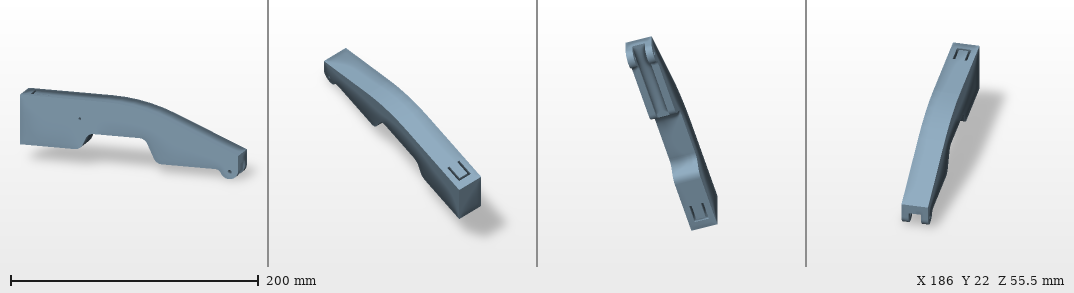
import cadquery as cq
import math

length = 186.0
width = 22.0
height = 55.5

bend_start = 71.8
bend_radius = 141.4
bend_angle = math.radians(22.2)

rear_bottom = 13.8
notch_top = 27.7
front_bottom = 7.5
notch_rear_x = 58.0
notch_front_x = 106.4
notch_wall_angle = math.radians(64.4)
notch_fillet = 7.5

lug_radius = 7.8
lug_x = length - lug_radius
lug_blend_radius = 5.0
hinge_hole_diameter = 3.3
hinge_hole_x = 178.7
hinge_hole_z = 6.1

fork_gap = 10.5
fork_roof = 12.3
cheek = (width - fork_gap) / 2

pin_hole_diameter = 2.5
pin_hole_x = 51.0
pin_hole_z = 39.5

tongue_cut_start = 7.3
tongue_cut_end = 23.2
tongue_cut_width = 11.9
tongue_cut_gap = 2.0


def make_body():
    """Extrude the side outline over the full width."""
    bend_end_x = bend_start + bend_radius * math.sin(bend_angle)
    bend_end_z = height - bend_radius * (1 - math.cos(bend_angle))
    bend_mid = (
        bend_start + bend_radius * math.sin(bend_angle / 2),
        height - bend_radius * (1 - math.cos(bend_angle / 2)),
    )
    end_top = bend_end_z - (length - bend_end_x) * math.tan(bend_angle)

    blend_z = front_bottom - lug_blend_radius
    centre_distance = lug_radius + lug_blend_radius
    rise = lug_radius - blend_z
    run = math.sqrt(centre_distance**2 - rise**2)
    blend_x = lug_x - run
    touch_angle = math.atan2(rise, run)
    touch = (
        blend_x + lug_blend_radius * math.cos(touch_angle),
        blend_z + lug_blend_radius * math.sin(touch_angle),
    )
    blend_mid_angle = (touch_angle + math.pi / 2) / 2
    blend_mid = (
        blend_x + lug_blend_radius * math.cos(blend_mid_angle),
        blend_z + lug_blend_radius * math.sin(blend_mid_angle),
    )

    rear_run = (notch_top - rear_bottom) / math.tan(notch_wall_angle)
    front_run = (notch_top - front_bottom) / math.tan(notch_wall_angle)
    notch_corners = [
        (notch_front_x + front_run, front_bottom),
        (notch_front_x, notch_top),
        (notch_rear_x, notch_top),
        (notch_rear_x - rear_run, rear_bottom),
    ]

    outline = (
        cq.Workplane("XZ", origin=(0, width / 2, 0))
        .moveTo(0, height)
        .lineTo(bend_start, height)
        .threePointArc(bend_mid, (bend_end_x, bend_end_z))
        .lineTo(length, end_top)
        .lineTo(length, lug_radius)
        .threePointArc((lug_x, 0), touch)
        .threePointArc(blend_mid, (blend_x, front_bottom))
    )
    for corner in notch_corners:
        outline = outline.lineTo(*corner)
    body = outline.lineTo(0, rear_bottom).close().extrude(width)

    notch_edges = cq.Workplane("XZ")
    for x, z in notch_corners:
        edge = body.edges(cq.selectors.NearestToPointSelector((x, 0, z)))
        notch_edges = notch_edges.add(edge)
    return body.newObject([body.val().fillet(notch_fillet, notch_edges.vals())])


def make_fork_slot():
    """Slot from the notch to the front end, open below."""
    slot_start = (notch_rear_x + notch_front_x) / 2
    return cq.Workplane("XY").box(
        length - slot_start, fork_gap, fork_roof, centered=(False, True, False)
    ).translate((slot_start, 0, 0))


def make_side_hole(x, z, diameter, depth):
    """Round hole drilled inward from the -Y side."""
    return (
        cq.Workplane("XZ", origin=(x, -width / 2, z))
        .circle(diameter / 2)
        .extrude(-depth)
    )


def make_tongue_cut():
    """U-shaped cut straight down through the rear block."""
    cut_length = tongue_cut_end - tongue_cut_start
    opening = cq.Workplane("XY").box(
        cut_length, tongue_cut_width, height, centered=(False, True, False)
    )
    tongue = cq.Workplane("XY").box(
        cut_length - tongue_cut_gap,
        tongue_cut_width - 2 * tongue_cut_gap,
        height,
        centered=(False, True, False),
    ).translate((tongue_cut_gap, 0, 0))
    return opening.cut(tongue).translate((tongue_cut_start, 0, 0))


result = (
    make_body()
    .cut(make_fork_slot())
    .cut(make_side_hole(hinge_hole_x, hinge_hole_z, hinge_hole_diameter, width))
    .cut(make_side_hole(pin_hole_x, pin_hole_z, pin_hole_diameter, cheek))
    .cut(make_tongue_cut())
)